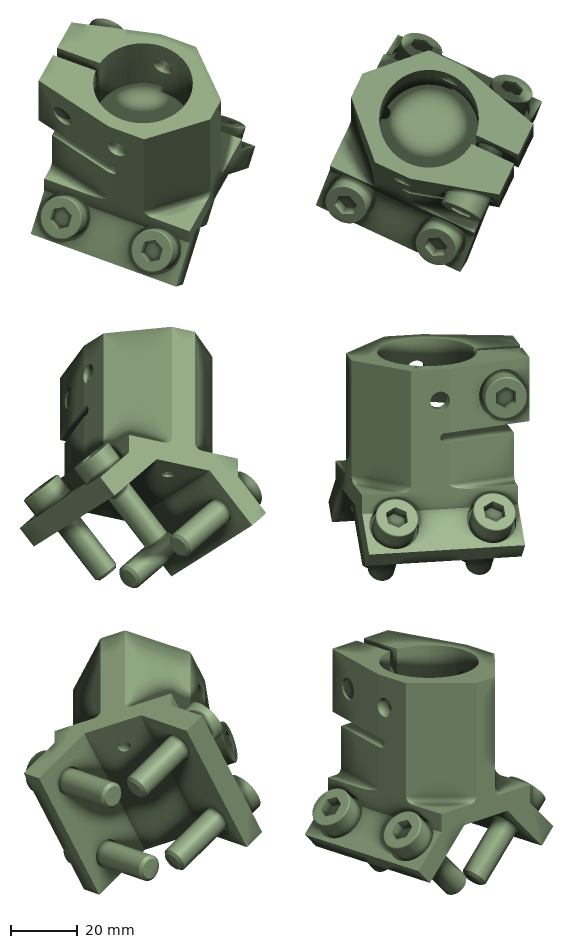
import cadquery as cq
import math

body_width = 48.0
body_depth = 38.0
body_height = 43.9
bore_diameter = 30.0
bore_depth = 23.0

jaw_overhang = 5.0
jaw_tip_width = 23.9
jaw_height = 20.0
jaw_taper = 15.0
split_width = 3.0

back_face_width = 8.0
ledge_depth = 38.0
ledge_fillet = 2.0

pin_hole_diameter = 6.0
drain_hole_diameter = 4.0

foot_angle = 45.0
foot_length = 14.0
foot_thickness = 7.0
shoulder_rise = 0.15
foot_screw_spacing = 30.0
foot_screw_inset = 5.15
foot_counterbore_depth = 2.0

shank_diameter = 8.0
head_diameter = 13.0
head_height = 8.0
head_edge_fillet = 0.4
shank_length = 25.0
tip_chamfer = 0.9
socket_width = 6.2
socket_depth = 4.0
clearance_diameter = 9.0
counterbore_diameter = 15.0
clamp_screw_x = -20.0
clamp_screw_depth = 10.0
clamp_seat_y = 12.0
tap_exit_diameter = 6.8

half_width = body_width / 2
half_depth = body_depth / 2
bore_radius = bore_diameter / 2
jaw_tip_x = -half_width - jaw_overhang
slot_top_z = body_height - jaw_height
bore_floor_z = body_height - bore_depth
ledge_z = body_height - ledge_depth
clamp_screw_z = body_height - clamp_screw_depth
taper_start_x = jaw_tip_x + (half_depth - jaw_tip_width / 2) / math.tan(math.radians(jaw_taper))
bevel_start_x = half_width - (half_depth - back_face_width / 2)
foot_sin = math.sin(math.radians(foot_angle))
foot_cos = math.cos(math.radians(foot_angle))

margin = 13.75


def side_profile():
    """Outline in the YZ plane: upright block standing on two sloped feet."""
    tip_y = half_depth + foot_length * foot_cos
    tip_z = shoulder_rise - foot_length * foot_sin
    under_tip_y = tip_y - foot_thickness * foot_sin
    under_tip_z = tip_z - foot_thickness * foot_cos
    inner_y = under_tip_y + under_tip_z / math.tan(math.radians(foot_angle))
    half = [
        (half_depth, body_height),
        (half_depth, shoulder_rise),
        (tip_y, tip_z),
        (under_tip_y, under_tip_z),
        (inner_y, 0),
    ]
    return half + [(-y, z) for y, z in reversed(half)]


def make_block():
    block = cq.Workplane("YZ").polyline(side_profile()).close().extrude(half_width, both=True)
    overhang = cq.Workplane("XY").box(
        half_width + jaw_overhang, body_depth, jaw_height, centered=(False, True, False)
    )
    return block.union(overhang.translate((jaw_tip_x, 0, slot_top_z)))


def corner_cutter(start_x, end_x, end_y):
    """Material outside a sloped wall from (start_x, half_depth) through (end_x, end_y)."""
    wall = cq.Vector(end_x - start_x, end_y - half_depth)
    step = wall.normalized() * (margin * 2)
    near = cq.Vector(start_x, half_depth) - step
    far = cq.Vector(end_x, end_y) + step
    outward_y = half_depth + margin * 2
    cutter = (
        cq.Workplane("XY", origin=(0, 0, ledge_z))
        .polyline([near.toTuple()[:2], far.toTuple()[:2], (far.x, outward_y), (near.x, outward_y)])
        .close()
        .extrude(ledge_depth + margin)
    )
    foot_of_wall = cq.selectors.NearestToPointSelector((*((near + far) * 0.5).toTuple()[:2], ledge_z))
    return cutter.edges(foot_of_wall).fillet(ledge_fillet)


def cut_corners(body):
    jaw_cutter = corner_cutter(taper_start_x, jaw_tip_x, jaw_tip_width / 2)
    back_cutter = corner_cutter(bevel_start_x, half_width, back_face_width / 2)
    for cutter in (jaw_cutter, back_cutter):
        body = body.cut(cutter).cut(cutter.mirror("XZ"))
    return body


def cut_bore_and_slots(body):
    bore = cq.Workplane("XY", origin=(0, 0, bore_floor_z)).circle(bore_radius).extrude(bore_depth)
    split = cq.Workplane("XY").box(
        -jaw_tip_x, split_width, body_height - slot_top_z, centered=(False, True, False)
    )
    split = split.translate((jaw_tip_x, 0, slot_top_z))
    slot_radius = split_width / 2
    slot_start_x = jaw_tip_x - margin
    slot = (
        cq.Workplane("XZ")
        .moveTo(slot_start_x, slot_top_z)
        .lineTo(-slot_radius, slot_top_z)
        .threePointArc((0, slot_top_z - slot_radius), (-slot_radius, slot_top_z - split_width))
        .lineTo(slot_start_x, slot_top_z - split_width)
        .close()
        .extrude(body_depth, both=True)
    )
    return body.cut(bore).cut(split).cut(slot)


def cut_small_holes(body):
    pin_hole = (
        cq.Workplane("XZ", origin=(0, 0, clamp_screw_z))
        .circle(pin_hole_diameter / 2)
        .extrude(body_depth, both=True)
    )
    drain_hole = (
        cq.Workplane("XY").center(bore_radius, 0).circle(drain_hole_diameter / 2).extrude(bore_floor_z)
    )
    return body.cut(pin_hole).cut(drain_hole)


def clearance_tool():
    """Counterbore above a seat at Z = 0 with a clearance hole below it."""
    counterbore = cq.Workplane("XY").circle(counterbore_diameter / 2).extrude(head_height + margin)
    hole = cq.Workplane("XY").circle(clearance_diameter / 2).extrude(-shank_length)
    return counterbore.union(hole)


def clamp_hole_tool():
    """Counterbore, clearance to mid-split, thread hole and narrower exit, with the seat at Z = 0."""
    counterbore = cq.Workplane("XY").circle(counterbore_diameter / 2).extrude(head_height)
    clearance = cq.Workplane("XY").circle(clearance_diameter / 2).extrude(-clamp_seat_y)
    thread = cq.Workplane("XY").circle(shank_diameter / 2).extrude(-shank_length)
    tap_exit = cq.Workplane("XY").circle(tap_exit_diameter / 2).extrude(-body_depth)
    return counterbore.union(clearance).union(thread).union(tap_exit)


def make_screw():
    """Socket head screw with its seat at Z = 0 and its head upwards."""
    head = (
        cq.Workplane("XY").circle(head_diameter / 2).extrude(head_height)
        .faces(">Z").edges().fillet(head_edge_fillet)
    )
    shank = (
        cq.Workplane("XY").circle(shank_diameter / 2).extrude(-shank_length)
        .faces("<Z").edges().chamfer(tip_chamfer)
    )
    socket = (
        cq.Workplane("XY", origin=(0, 0, head_height))
        .polygon(6, socket_width, circumscribed=True)
        .extrude(-socket_depth)
    )
    return head.union(shank).cut(socket)


def place_on_foot(shape, x, side):
    """Move a shape from its seat at the origin to a foot; side is -1 for -Y and 1 for +Y."""
    seat_y = half_depth + foot_screw_inset * foot_cos - foot_counterbore_depth * foot_sin
    seat_z = shoulder_rise - foot_screw_inset * foot_sin - foot_counterbore_depth * foot_cos
    tilted = shape.rotate((0, 0, 0), (1, 0, 0), -side * foot_angle)
    return tilted.translate((x, side * seat_y, seat_z))


def place_on_clamp(shape):
    """Turn a shape so that its head points to +Y and seat it on the +Y jaw."""
    return shape.rotate((0, 0, 0), (1, 0, 0), -90).translate((clamp_screw_x, clamp_seat_y, clamp_screw_z))


foot_places = [(x, side) for side in (-1, 1) for x in (-foot_screw_spacing / 2, foot_screw_spacing / 2)]

housing = make_block()
housing = cut_corners(housing)
housing = cut_bore_and_slots(housing)
housing = cut_small_holes(housing)
for x, side in foot_places:
    housing = housing.cut(place_on_foot(clearance_tool(), x, side))
housing = housing.cut(place_on_clamp(clamp_hole_tool()))

foot_screws = [place_on_foot(make_screw(), x, side) for x, side in foot_places]
clamp_screw = place_on_clamp(make_screw())

result = cq.Compound.makeCompound(
    [housing.val(), *[screw.val() for screw in foot_screws], clamp_screw.val()]
)